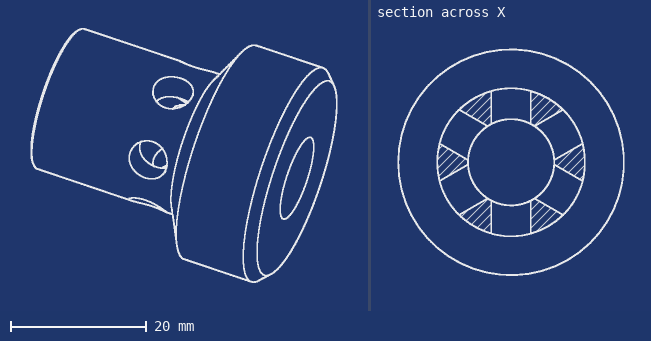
import cadquery as cq

total_length = 38.1
head_diameter = 33.34
neck_diameter = 21.84
bore_diameter = 12.7

neck_length = 22.53
cone_length = 3.27
neck_chamfer = 0.25
head_chamfer = 1.55

cross_hole_diameter = 5.94
cross_hole_count = 6
cross_hole_x = 18.25

head_radius = head_diameter / 2
neck_radius = neck_diameter / 2
bore_radius = bore_diameter / 2


def turned_body():
    """Neck, conical shoulder and chamfered head around a plain through bore."""
    profile = [
        (0, bore_radius),
        (0, neck_radius - neck_chamfer),
        (neck_chamfer, neck_radius),
        (neck_length, neck_radius),
        (neck_length + cone_length, head_radius),
        (total_length - head_chamfer, head_radius),
        (total_length, head_radius - head_chamfer),
        (total_length, bore_radius),
    ]
    return cq.Workplane("XY").polyline(profile).close().revolve(360, (0, 0, 0), (1, 0, 0))


def cross_hole(angle):
    """Cutter running from the part axis out through the neck wall, turned about X from +Z."""
    outline = cq.Workplane("XY").center(cross_hole_x, 0).circle(cross_hole_diameter / 2)
    cutter = outline.extrude(neck_diameter)
    return cutter.rotate((0, 0, 0), (1, 0, 0), angle)


result = turned_body()
for index in range(cross_hole_count):
    result = result.cut(cross_hole(index * 360 / cross_hole_count))